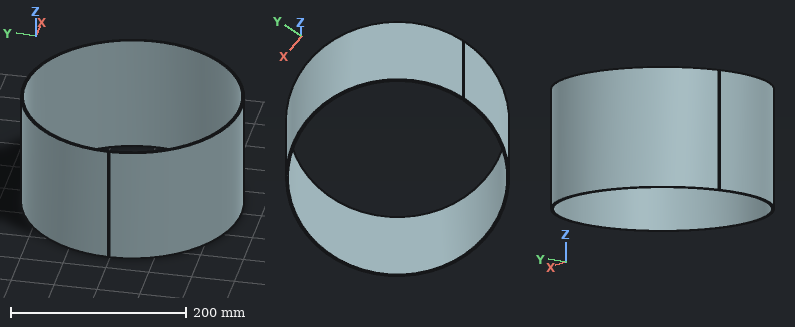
import cadquery as cq

outer_diameter = 255.0
wall_thickness = 2.5
height = 140.0
slit_angle = 1.0
outer_chamfer = 0.5
inner_chamfer = 0.2

outer_radius = outer_diameter / 2
inner_radius = outer_radius - wall_thickness


def make_split_sleeve():
    """Revolve the wall section about Z from the -X side, stopping short to leave a full-height slit."""
    wall_section = (
        cq.Workplane("XZ")
        .moveTo(-outer_radius, 0)
        .lineTo(-inner_radius, 0)
        .lineTo(-inner_radius, height)
        .lineTo(-outer_radius, height)
        .close()
    )
    axis_start = (0, 0, 0)
    axis_end = (0, 1, 0)
    return wall_section.revolve(360 - slit_angle, axis_start, axis_end)


def chamfer_rims(sleeve, radius, size):
    """Chamfer the top and bottom circular edges that have the given radius."""
    tolerance = 1e-3
    rims = [edge for edge in sleeve.edges("%CIRCLE").vals() if abs(edge.radius() - radius) < tolerance]
    return sleeve.newObject(rims).chamfer(size)


sleeve_blank = make_split_sleeve()
outer_chamfered = chamfer_rims(sleeve_blank, outer_radius, outer_chamfer)
result = chamfer_rims(outer_chamfered, inner_radius, inner_chamfer)